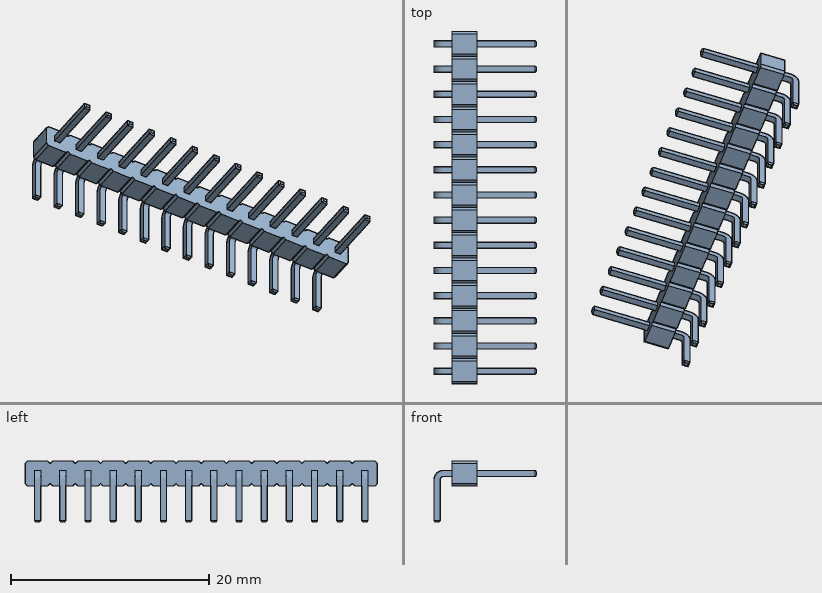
import cadquery as cq
import math


pin_count = 14
pitch = 2.54
housing_depth = 2.54
housing_height = 2.54
housing_chamfer = 0.25

pin_width = 0.64
pin_front_reach = 1.82
pin_rear_reach = 6.0
pin_drop = 4.91
bend_inner_radius = 0.32
tip_chamfer = 0.15

half_pin = pin_width / 2
bend_outer_radius = bend_inner_radius + pin_width
pin_front = -housing_depth / 2 - pin_front_reach
pin_rear = housing_depth / 2 + pin_rear_reach
pin_bottom = -pin_drop
bend_x = pin_front + bend_outer_radius
bend_z = half_pin - bend_outer_radius


def position_y(index):
    """Y centre of one position in the row."""
    return (index - (pin_count - 1) / 2) * pitch


def housing_segment(y):
    """One block of the housing, with its four edges along X chamfered."""
    block = cq.Workplane("XY").box(housing_depth, pitch, housing_height)
    return block.edges("|X").chamfer(housing_chamfer).translate((0, y, 0))


def bent_pin(y):
    """One square pin: a leg down, a rounded bend, and a leg through the housing."""
    diagonal = math.sqrt(0.5)
    outer_mid = (bend_x - bend_outer_radius * diagonal, bend_z + bend_outer_radius * diagonal)
    inner_mid = (bend_x - bend_inner_radius * diagonal, bend_z + bend_inner_radius * diagonal)
    pin = (
        cq.Workplane("XZ")
        .moveTo(pin_front, pin_bottom)
        .lineTo(pin_front, bend_z)
        .threePointArc(outer_mid, (bend_x, half_pin))
        .lineTo(pin_rear, half_pin)
        .lineTo(pin_rear, -half_pin)
        .lineTo(bend_x, -half_pin)
        .threePointArc(inner_mid, (pin_front + pin_width, bend_z))
        .lineTo(pin_front + pin_width, pin_bottom)
        .close()
        .extrude(half_pin, both=True)
    )
    pin = pin.faces(">X").chamfer(tip_chamfer)
    pin = pin.faces("<Z").chamfer(tip_chamfer)
    return pin.translate((0, y, 0))


def pin_header():
    """All housing segments and pins joined into one solid."""
    header = housing_segment(position_y(0))
    for index in range(1, pin_count):
        header = header.union(housing_segment(position_y(index)))
    for index in range(pin_count):
        header = header.union(bent_pin(position_y(index)))
    return header


result = pin_header()